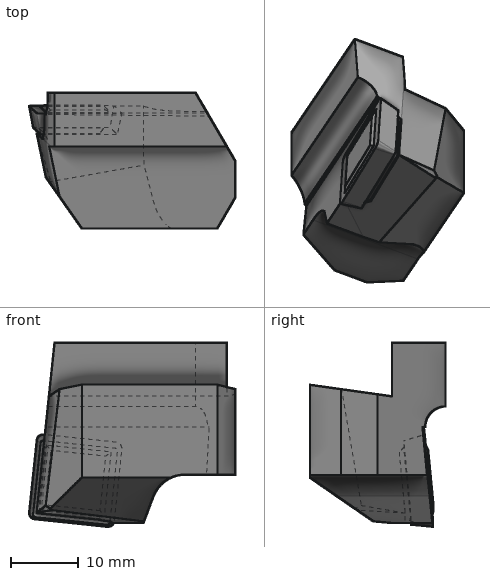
import cadquery as cq
import math

length = 30.47
depth = 20.08
height = 27.2
cutter_size = 3 * length

front_left_x = 7.8
front_right_x = 27.8
back_right_x = 24.6
right_flat_start = 4.6
right_flat_end = 10.0
front_chamfer_angle = 35.0
front_slope_angle = 34.6
front_slope_z = 7.28

rib_front_y = 12.13
shelf_back_z = 19.3
shelf_angle = 8.0

step_z = 7.68
step_radius = 4.88
step_foot_x = 16.88
step_foot_z = 0.55
step_lean = 20.7

gullet_radius = 3.02
gullet_z = 14.75

lean_angle = 5.5
turn_angle = 6.0
relief_angle = 11.0
rake_corner = (-0.1, 18.2, 1.22)
insert_side = 12.65
insert_thickness = 3.17
insert_corner_radius = 0.98
boss_base_inset = 1.52
boss_height = 0.3
boss_slope_run = 0.73

seat_height = 0.82
seat_inset = 1.37
seat_wall_angle = 25.0
rebate_length = 11.12
rebate_end_angle = 38.0
holder_corner = (1.1, 14.15, 2.0)
end_face_top_x = 3.75

facet_left_point = (2.35, 7.83, 3.2)
facet_lower_point = (3.17, 6.8, 2.6)

lean = math.radians(lean_angle)
turn = math.radians(turn_angle)
relief = math.radians(relief_angle)
across = cq.Vector(math.cos(turn), 0, -math.sin(turn))
outward = cq.Vector(math.sin(turn) * math.sin(lean), math.cos(lean), math.cos(turn) * math.sin(lean))
along = across.cross(outward)
left_relief_normal = across * -math.cos(relief) - outward * math.sin(relief)
lower_relief_normal = along * -math.cos(relief) - outward * math.sin(relief)
insert_plane = cq.Plane(origin=rake_corner, xDir=across, normal=outward * -1)


def beyond(point, normal):
    """Block filling the space beyond a plane, on the side its normal points to."""
    return cq.Workplane(cq.Plane(origin=point, normal=normal)).rect(cutter_size, cutter_size).extrude(cutter_size)


def side_profile(points):
    """Closed polygon of (y, z) points, extruded over the whole length."""
    return cq.Workplane("YZ").polyline(points).close().extrude(length)


def make_blank():
    """Plan outline at full height; the left side is trimmed by the sloping faces."""
    chamfer_rise = front_left_x / math.tan(math.radians(front_chamfer_angle))
    outline = [
        (front_left_x, 0),
        (front_right_x, 0),
        (length, right_flat_start),
        (length, right_flat_end),
        (back_right_x, depth),
        (0, depth),
        (0, chamfer_rise),
    ]
    return cq.Workplane("XY").polyline(outline).close().extrude(height)


def make_shelf_cut():
    """Space in front of the rib and above the sloping shelf."""
    shelf_front_z = shelf_back_z + rib_front_y * math.tan(math.radians(shelf_angle))
    return side_profile([
        (0, shelf_front_z),
        (rib_front_y, shelf_back_z),
        (rib_front_y, height),
        (0, height),
    ])


def make_step_cut():
    """Space under the right side, with a rounded inner corner."""
    slant = math.radians(step_lean)
    wall_run = math.tan(slant)
    corner_x = step_foot_x + (step_z - step_foot_z) * wall_run
    tangent_length = step_radius * math.tan((math.pi / 2 - slant) / 2)
    arc_top = (corner_x + tangent_length, step_z)
    arc_foot = (corner_x - tangent_length * math.sin(slant), step_z - tangent_length * math.cos(slant))
    bisector = (math.pi / 2 + slant) / 2
    arc_middle = (
        arc_top[0] - step_radius * math.cos(bisector),
        step_z - step_radius + step_radius * math.sin(bisector),
    )
    cut_bottom_z = -step_z
    cut_bottom_x = step_foot_x - (step_foot_z - cut_bottom_z) * wall_run
    return (
        cq.Workplane("XZ")
        .moveTo(length, step_z)
        .lineTo(*arc_top)
        .threePointArc(arc_middle, arc_foot)
        .lineTo(cut_bottom_x, cut_bottom_z)
        .lineTo(length, cut_bottom_z)
        .close()
        .extrude(-depth)
    )


def make_gullet_cut():
    """Round gullet, and the chip face that continues the rake face."""
    gullet = cq.Workplane("YZ").center(depth, gullet_z).circle(gullet_radius).extrude(length)
    below_gullet = cq.Workplane("XY").box(length, depth, gullet_z, centered=False)
    return gullet.union(beyond(rake_corner, outward).intersect(below_gullet))


def make_insert_plate():
    """Square plate with rounded corners that narrows away from its rake face."""
    middle = insert_side / 2
    return (
        cq.Workplane(insert_plane)
        .center(middle, middle)
        .sketch()
        .rect(insert_side, insert_side)
        .vertices()
        .fillet(insert_corner_radius)
        .finalize()
        .extrude(insert_thickness, taper=relief_angle)
    )


def make_insert():
    """Insert plate with a low tapered boss on its rake face."""
    middle = insert_side / 2
    base_side = insert_side - 2 * boss_base_inset
    boss_angle = math.degrees(math.atan2(boss_slope_run, boss_height))
    boss = (
        cq.Workplane(insert_plane)
        .center(middle, middle)
        .rect(base_side, base_side)
        .extrude(-boss_height, taper=boss_angle)
    )
    return make_insert_plate().union(boss)


def make_seat_relief():
    """Rebate around the raised seat, along the left and lower edges of the pocket, with sloping ends."""
    seat_plane = cq.Workplane(insert_plane).workplane(offset=insert_thickness)
    rebate = (
        seat_plane
        .rect(2 * rebate_length, 2 * rebate_length)
        .extrude(seat_height, taper=rebate_end_angle)
    )
    seat_middle = seat_inset + insert_side / 2
    seat = (
        seat_plane
        .center(seat_middle, seat_middle)
        .sketch()
        .rect(insert_side, insert_side)
        .vertices()
        .fillet(insert_corner_radius)
        .finalize()
        .extrude(seat_height, taper=seat_wall_angle)
    )
    return rebate.cut(seat)


def make_holder():
    end_face_normal = (-math.cos(turn), 0, math.sin(turn))
    slope = math.radians(front_slope_angle)
    facet_edge = cq.Vector(*facet_left_point) - cq.Vector(*holder_corner)
    facet_side = cq.Vector(*facet_lower_point) - cq.Vector(*holder_corner)
    facet_normal = facet_side.cross(facet_edge)
    holder = make_blank()
    holder = holder.cut(make_shelf_cut())
    holder = holder.cut(make_step_cut())
    holder = holder.cut(beyond((end_face_top_x, 0, height), end_face_normal))
    holder = holder.cut(beyond(holder_corner, left_relief_normal))
    holder = holder.cut(beyond(holder_corner, lower_relief_normal))
    holder = holder.cut(beyond((0, 0, front_slope_z), (0, -math.sin(slope), -math.cos(slope))))
    holder = holder.cut(beyond(holder_corner, facet_normal))
    holder = holder.cut(beyond((0, 0, step_foot_z), (0, 0, -1)))
    holder = holder.cut(make_gullet_cut())
    holder = holder.cut(make_insert_plate())
    return holder.cut(make_seat_relief())


holder = make_holder()
insert = make_insert()
result = cq.Compound.makeCompound([*holder.vals(), *insert.vals()])